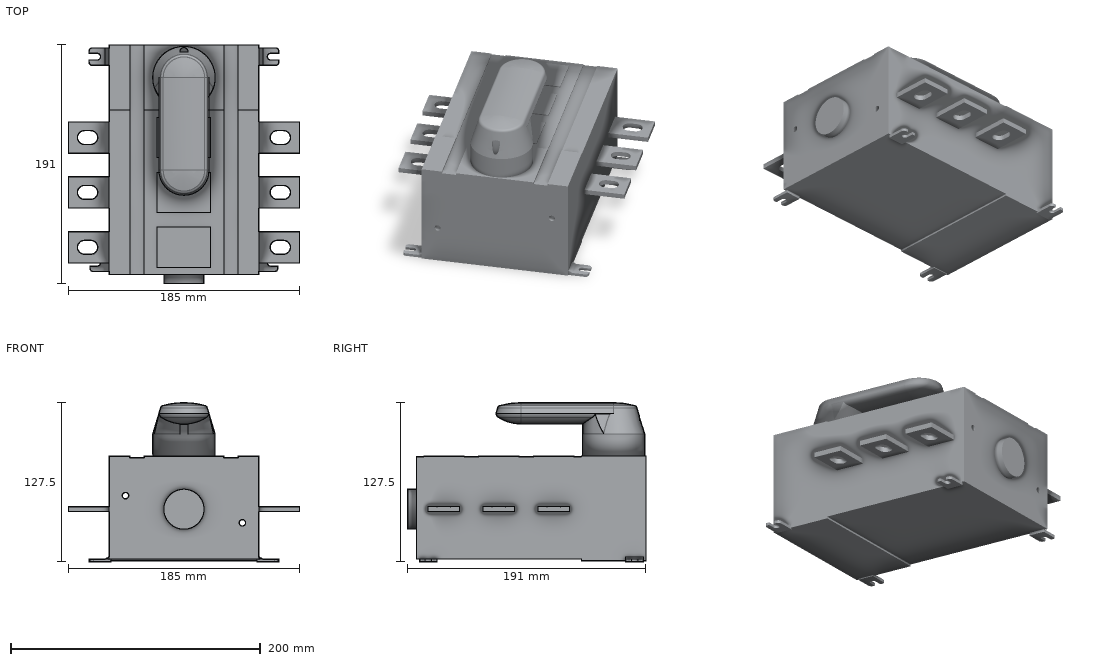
import cadquery as cq
import math


body_width = 120.0
body_length = 184.0
front_bottom = 2.3
front_top = 84.2
rear_length = 52.0
rear_bottom = 0.8
rear_top = 85.0
groove_inner = 31.9
groove_outer = 43.4
groove_floor = 83.5

pole_count = 3
pole_pitch = 44
first_pole_y = -74.1
pad_width = 42.8
pad_length = 32.3
terminal_span = 185.0
terminal_width = 25.2
terminal_thickness = 4.0
terminal_slot_length = 16.0
terminal_slot_width = 10.9
terminal_slot_x = 77.2

axis_z = 42.2
button_diameter = 32.0
button_height = 7.0
bore_diameter = 5.0
bore_x = 46.8
bore_rise = 10.9

foot_width = 14.1
foot_thickness = 2.3
foot_inner_x = 58.5
foot_slot_end_x = 66.8
foot_slot_width = 5.2
foot_corner = 2.7
rear_foot_tip_x = 76.0
rear_foot_y = -9.4
front_foot_tip_x = 75.3
front_foot_y = -174.4
foot_bend_x = 63.2
foot_bend_rise = 1.7

knob_y = -26.2
knob_radius = 25.0
knob_top = 102.4
arm_length = 74.1
arm_bottom = 110.4
arm_bottom_radius = 33.2
arm_bottom_half_width = 18.0
arm_widest_z = 119.0
arm_half_width = 20.0
arm_shoulder_z = 123.4
side_taper = (knob_radius - arm_half_width) / (arm_widest_z - knob_top)
arm_shoulder_half_width = knob_radius - side_taper * (arm_shoulder_z - knob_top)
crown_edge_z = 125.3
crown_half_width = 16.6
crown_z = 127.5

pillar_radius = 24.8
pillar_base_half_width = 23.7
pillar_top_half_width = 19.9
rib_width = 6.5
rib_top = 110.2

pocket_width = 6.5
pocket_front_y = -5.5
pocket_back_y = -2.1


def box(x_range, y_range, z_range):
    """Block between two limits along each axis."""
    size = [high - low for low, high in (x_range, y_range, z_range)]
    corner = (x_range[0], y_range[0], z_range[0])
    return cq.Workplane("XY").box(*size, centered=False).translate(corner)


def both_sides(solid):
    """The solid together with its mirror image across X = 0."""
    return solid.union(solid.mirror("YZ"))


def make_housing():
    half = body_width / 2
    front = box((-half, half), (-body_length, -rear_length), (front_bottom, front_top))
    rear = box((-half, half), (-rear_length, 0), (rear_bottom, rear_top))
    groove = box((groove_inner, groove_outer), (-body_length, 0), (groove_floor, rear_top))
    return front.union(rear).cut(both_sides(groove))


def make_pole(y):
    pad = box(
        (-pad_width / 2, pad_width / 2),
        (y - pad_length / 2, y + pad_length / 2),
        (front_bottom, rear_top),
    )
    bar = cq.Workplane("XY").box(terminal_span, terminal_width, terminal_thickness)
    bar = bar.pushPoints([(-terminal_slot_x, 0), (terminal_slot_x, 0)])
    bar = bar.slot2D(terminal_slot_length, terminal_slot_width).cutThruAll()
    return pad.union(bar.translate((0, y, axis_z)))


def make_button():
    face = cq.Workplane("XZ", origin=(0, -body_length, axis_z))
    return face.circle(button_diameter / 2).extrude(button_height)


def make_bores():
    plane = cq.Workplane("XZ", origin=(0, 0, axis_z))
    plane = plane.pushPoints([(-bore_x, bore_rise), (bore_x, -bore_rise)])
    return plane.circle(bore_diameter / 2).extrude(body_length)


def make_foot_pair(tip_x, y):
    """Two flat feet with open-ended slots, one on each side of the housing."""
    foot = box((foot_inner_x, tip_x), (y - foot_width / 2, y + foot_width / 2), (0, foot_thickness))
    slot_radius = foot_slot_width / 2
    slot_straight = tip_x - foot_slot_end_x - slot_radius
    slot = (
        cq.Workplane("XY")
        .moveTo(tip_x, y - slot_radius)
        .line(-slot_straight, 0)
        .threePointArc((foot_slot_end_x, y), (tip_x - slot_straight, y + slot_radius))
        .line(slot_straight, 0)
        .close()
        .extrude(foot_thickness)
    )
    foot = foot.edges("|Z and >X").fillet(foot_corner)
    return both_sides(foot.cut(slot))


def make_foot_bends():
    """Sloped webs where the rear feet bend up against the housing."""
    inner_x = body_width / 2
    web = (
        cq.Workplane("XZ", origin=(0, rear_foot_y + foot_width / 2, foot_thickness))
        .polyline([(inner_x, 0), (foot_bend_x, 0), (inner_x, foot_bend_rise)])
        .close()
        .extrude(foot_width)
    )
    return both_sides(web)


def finish_crown(outline):
    """Close a half outline from the arm shoulder over the domed top and down the axis."""
    dome_rise = crown_z - crown_edge_z
    dome_radius = (crown_half_width**2 + dome_rise**2) / (2 * dome_rise)
    dome_mid_x = crown_half_width / 2
    dome_mid_z = crown_z - dome_radius + math.sqrt(dome_radius**2 - dome_mid_x**2)
    return (
        outline.tangentArcPoint((crown_half_width, crown_edge_z), relative=False)
        .threePointArc((dome_mid_x, dome_mid_z), (0, crown_z))
        .close()
    )


def arm_underside_z(x):
    return arm_bottom + arm_bottom_radius - math.sqrt(arm_bottom_radius**2 - x**2)


def arm_half_outline():
    mid_x = arm_bottom_half_width / 2
    outline = (
        cq.Workplane("XZ")
        .moveTo(0, arm_bottom)
        .threePointArc(
            (mid_x, arm_underside_z(mid_x)),
            (arm_bottom_half_width, arm_underside_z(arm_bottom_half_width)),
        )
        .tangentArcPoint((arm_half_width, arm_widest_z), relative=False)
        .lineTo(arm_shoulder_half_width, arm_shoulder_z)
    )
    return finish_crown(outline)


def make_arm():
    bar = both_sides(arm_half_outline().extrude(arm_length))
    tip = arm_half_outline().revolve(360, (0, 0, 0), (0, 1, 0))
    return bar.union(tip.translate((0, -arm_length, 0)))


def make_head():
    outline = (
        cq.Workplane("XZ")
        .moveTo(0, knob_top)
        .lineTo(knob_radius, knob_top)
        .lineTo(arm_shoulder_half_width, arm_shoulder_z)
    )
    return finish_crown(outline).revolve(360, (0, 0, 0), (0, 1, 0))


def make_pillar():
    """Front half of a cylinder with tapered sides, plus a narrow rib flush with the base."""
    sides = (
        cq.Workplane("XZ")
        .polyline([
            (-pillar_base_half_width, knob_top),
            (pillar_base_half_width, knob_top),
            (pillar_top_half_width, arm_widest_z),
            (-pillar_top_half_width, arm_widest_z),
        ])
        .close()
        .extrude(knob_radius)
    )
    column = cq.Workplane("XY").circle(pillar_radius).extrude(arm_widest_z)
    rib_sides = box((-rib_width / 2, rib_width / 2), (-knob_radius, 0), (knob_top, rib_top))
    rib = cq.Workplane("XY").circle(knob_radius).extrude(rib_top).intersect(rib_sides)
    return sides.intersect(column).union(rib)


def make_pocket():
    half = pocket_width / 2
    arch_start_y = pocket_back_y - half
    return (
        cq.Workplane("XY", origin=(0, 0, knob_top))
        .moveTo(-half, pocket_front_y)
        .lineTo(half, pocket_front_y)
        .lineTo(half, arch_start_y)
        .threePointArc((0, pocket_back_y), (-half, arch_start_y))
        .close()
        .extrude(crown_z - knob_top)
    )


def make_handle():
    base = cq.Workplane("XY", origin=(0, 0, front_top)).circle(knob_radius)
    base = base.extrude(knob_top - front_top)
    handle = base.union(make_head()).union(make_pillar()).union(make_arm())
    return handle.translate((0, knob_y, 0)).cut(make_pocket())


result = make_housing()
for pole in range(pole_count):
    result = result.union(make_pole(first_pole_y - pole * pole_pitch))
result = result.union(make_button())
result = result.cut(make_bores())
result = result.union(make_foot_pair(rear_foot_tip_x, rear_foot_y))
result = result.union(make_foot_pair(front_foot_tip_x, front_foot_y))
result = result.union(make_foot_bends())
result = result.union(make_handle())